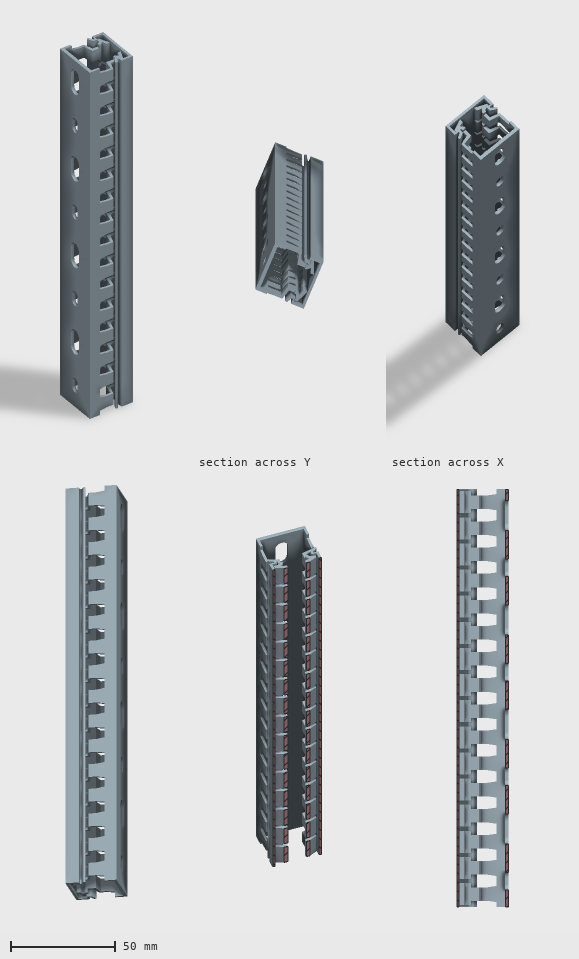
import cadquery as cq

WIDTH = 25.0
DEPTH = 25.0
LENGTH = 200.0
HALF_WIDTH = WIDTH / 2
HALF_DEPTH = DEPTH / 2

DUCT_FLOOR = 1.8
DUCT_WALL = 1.3
SHOULDER_TOP_Y = 1.3
SHOULDER_RISE = 1.6
SHOULDER_BOTTOM_Y = 0.4

NECK_OUTER_X = 7.5
NECK_INNER_X = 5.8
NECK_BOTTOM_Y = 1.6
NECK_TOP_OUTER_Y = 6.3
NECK_TOP_INNER_Y = 6.6

BARB_X = 10.6
BARB_ROOT_X = 8.7
BARB_BOTTOM_Y = 7.0
BARB_TOP_Y = 8.4
TIP_X = 4.6
TIP_TOP_Y = 10.9
TIP_BOTTOM_Y = 8.9
NOTCH_X = 7.2
NOTCH_Y = 8.2

COVER_TOP = 1.35
COVER_WALL = 1.3
COVER_EDGE_Y = 5.9
LEDGE_THICKNESS = 0.8
KNEE_OUTER_X = 10.0
KNEE_INNER_X = 8.8
GROOVE_BOTTOM_Y = 5.2
KNEE_BOTTOM_Y = 4.3
LIP_TOP_Y = 3.8
LIP_BOTTOM_Y = 2.3
LIP_ROUNDING = 0.6
GROOVE_ROUNDING = 0.3

FINGER_PITCH = 12.5
GAP_COUNT = round(LENGTH / FINGER_PITCH) + 1
GAP_WIDTH = 6.0
GAP_FLOOR_WIDTH = 4.8
GAP_FLOOR_Y = -6.6
GAP_TAPER_Y = -2.5
GAP_ENTRY_WIDTH = 2.0
GAP_ENTRY_Y = 5.6

MOUNT_PITCH = 50.0
LARGE_SLOT_LENGTH = 14.0
LARGE_SLOT_WIDTH = 6.5
LARGE_SLOT_FIRST_Z = -62.5
SMALL_SLOT_LENGTH = 8.0
SMALL_SLOT_WIDTH = 4.5
SMALL_SLOT_FIRST_Z = LARGE_SLOT_FIRST_Z - MOUNT_PITCH / 2
MOUNT_COUNT = round(LENGTH / MOUNT_PITCH)

SELECT_MARGIN = 0.1


def extrude_symmetric(right_half):
    """Mirror a half outline about X = 0 and extrude it over the full length."""
    left_half = [(-x, y) for x, y in reversed(right_half)]
    return (
        cq.Workplane("XY")
        .workplane(offset=-LENGTH / 2)
        .polyline(right_half + left_half)
        .close()
        .extrude(LENGTH)
    )


def duct_body():
    """Duct with its fingers still joined into two unbroken side walls."""
    wall_inner_x = HALF_WIDTH - DUCT_WALL
    right_half = [
        (HALF_WIDTH, -HALF_DEPTH),
        (HALF_WIDTH, SHOULDER_TOP_Y),
        (NECK_OUTER_X, SHOULDER_TOP_Y + SHOULDER_RISE),
        (NECK_OUTER_X, NECK_TOP_OUTER_Y),
        (BARB_ROOT_X, BARB_BOTTOM_Y),
        (BARB_X, BARB_BOTTOM_Y),
        (BARB_X, BARB_TOP_Y),
        (TIP_X, TIP_TOP_Y),
        (TIP_X, TIP_BOTTOM_Y),
        (NOTCH_X, NOTCH_Y),
        (NECK_INNER_X, NECK_TOP_INNER_Y),
        (NECK_INNER_X, NECK_BOTTOM_Y),
        (wall_inner_x, SHOULDER_BOTTOM_Y),
        (wall_inner_x, DUCT_FLOOR - HALF_DEPTH),
    ]
    return extrude_symmetric(right_half)


def finger_gap(centre_z):
    """One gap between two fingers, passing through both side walls."""
    upper_half = [
        (GAP_FLOOR_Y, GAP_FLOOR_WIDTH / 2),
        (GAP_TAPER_Y, GAP_WIDTH / 2),
        (GAP_ENTRY_Y, GAP_WIDTH / 2),
        (GAP_ENTRY_Y, GAP_ENTRY_WIDTH / 2),
        (HALF_DEPTH, GAP_ENTRY_WIDTH / 2),
    ]
    outline = upper_half + [(y, -z) for y, z in reversed(upper_half)]
    gap = cq.Workplane("YZ").polyline(outline).close().extrude(HALF_WIDTH, both=True)
    return gap.translate((0, 0, centre_z))


def mounting_slots(length, width, first_z):
    """A row of slots along Z through the duct floor."""
    centres = [(0, first_z + k * MOUNT_PITCH) for k in range(MOUNT_COUNT)]
    return (
        cq.Workplane("XZ", origin=(0, -HALF_DEPTH, 0))
        .pushPoints(centres)
        .slot2D(length, width, 90)
        .extrude(-DUCT_FLOOR)
    )


def make_duct():
    duct = duct_body()
    for k in range(GAP_COUNT):
        duct = duct.cut(finger_gap(k * FINGER_PITCH - LENGTH / 2))
    duct = duct.cut(mounting_slots(LARGE_SLOT_LENGTH, LARGE_SLOT_WIDTH, LARGE_SLOT_FIRST_Z))
    return duct.cut(mounting_slots(SMALL_SLOT_LENGTH, SMALL_SLOT_WIDTH, SMALL_SLOT_FIRST_Z))


def round_edges(body, edge_x, low_y, high_y, radius):
    """Round the long edges at X = +edge_x and -edge_x whose Y lies from low_y to high_y."""
    for side in (-1, 1):
        corner_low = (side * edge_x - SELECT_MARGIN, low_y - SELECT_MARGIN, -LENGTH)
        corner_high = (side * edge_x + SELECT_MARGIN, high_y + SELECT_MARGIN, LENGTH)
        in_box = cq.selectors.BoxSelector(corner_low, corner_high)
        body = body.edges("|Z").edges(in_box).fillet(radius)
    return body


def make_cover():
    wall_inner_x = HALF_WIDTH - COVER_WALL
    ledge_top_y = COVER_EDGE_Y + LEDGE_THICKNESS
    right_half = [
        (HALF_WIDTH, HALF_DEPTH),
        (HALF_WIDTH, COVER_EDGE_Y),
        (KNEE_OUTER_X, COVER_EDGE_Y),
        (KNEE_OUTER_X, GROOVE_BOTTOM_Y),
        (HALF_WIDTH, LIP_TOP_Y),
        (HALF_WIDTH, LIP_BOTTOM_Y),
        (KNEE_INNER_X, KNEE_BOTTOM_Y),
        (KNEE_INNER_X, ledge_top_y),
        (wall_inner_x, ledge_top_y),
        (wall_inner_x, HALF_DEPTH - COVER_TOP),
    ]
    cover = extrude_symmetric(right_half)
    cover = round_edges(cover, HALF_WIDTH, LIP_BOTTOM_Y, LIP_TOP_Y, LIP_ROUNDING)
    return round_edges(cover, KNEE_OUTER_X, GROOVE_BOTTOM_Y, COVER_EDGE_Y, GROOVE_ROUNDING)


duct = make_duct()
cover = make_cover()
result = cq.Compound.makeCompound([duct.solids().val(), cover.solids().val()])